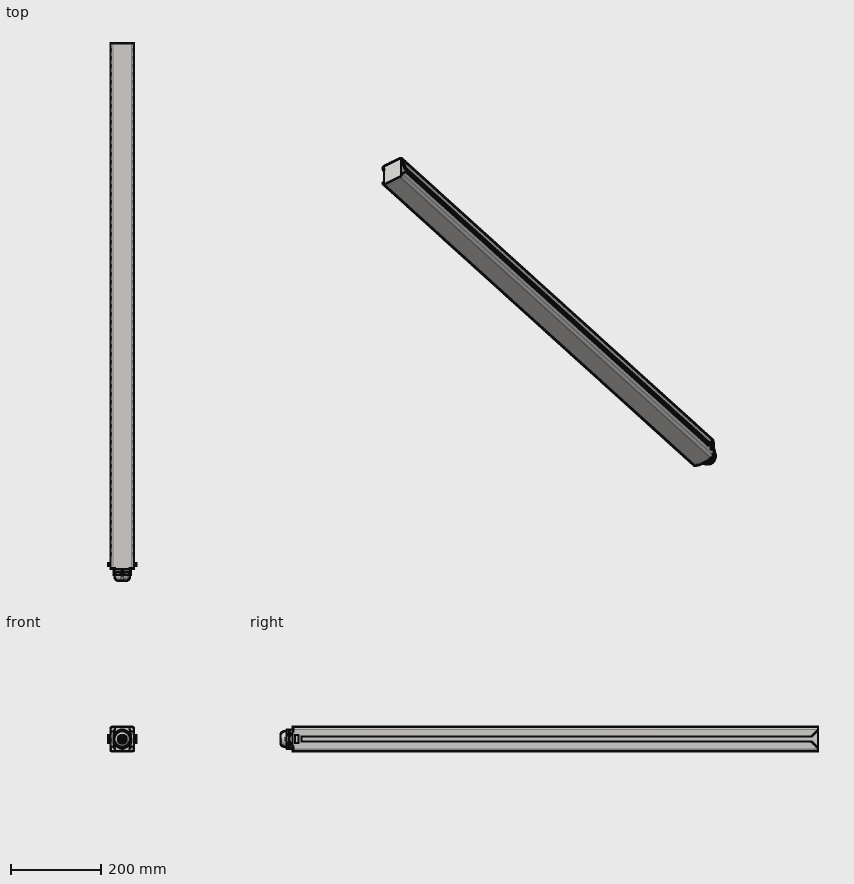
import cadquery as cq
import math

body_width = 53.0
body_height = 55.0
edge_radius = 5.9
overall_length = 1189.79

nut_across_flats = 39.0
nut_corner_diameter = 43.0
nut_chamfer = 1.2
lock_nut_length = 6.0
gasket_diameter = 37.0
gasket_length = 1.5
cap_nut_length = 5.5
dome_base_radius = 17.5
dome_tip_radius = 9.5
dome_length = 13.7
cable_hole_radius = 6.0
cable_hole_depth = 3.0
seal_hole_radius = 3.0
seal_hole_depth = 10.0

gasket_start = lock_nut_length
cap_nut_start = gasket_start + gasket_length
dome_start = cap_nut_start + cap_nut_length
gland_length = dome_start + dome_length
body_length = overall_length - gland_length

groove_depth = 3.0
groove_half_width = 5.2
groove_start = 20.6
flare_half_width = 20.5
flare_length = flare_half_width - groove_half_width

recess_inner_x = 16.5
recess_inner_z = 16.5
recess_inner_radius = 5.0
recess_depth = 2.0

width_over_lugs = 62.0
lug_start = 6.3
lug_length = 7.2
lug_height = 18.0


def along_y(y):
    """Workplane at the given Y whose extrusions run towards -Y."""
    return cq.Workplane("XZ", origin=(0, y, 0))


def make_body():
    bar = along_y(0).rect(body_width, body_height).extrude(-body_length)
    return bar.edges("|Y").fillet(edge_radius)


def groove_cutter(side):
    """Groove open at the rear end; side is -1 for the -X face and +1 for the +X face."""
    flare_start = body_length - flare_length
    outline = [
        (groove_start, -groove_half_width),
        (flare_start, -groove_half_width),
        (body_length, -flare_half_width),
        (body_length, flare_half_width),
        (flare_start, groove_half_width),
        (groove_start, groove_half_width),
    ]
    side_face = cq.Workplane("YZ", origin=(side * body_width / 2, 0, 0))
    return side_face.polyline(outline).close().extrude(-side * groove_depth)


def corner_recess_cutter():
    """Four blocks with a rounded inner edge, each reaching past its corner of the body."""
    block_size = body_height / 2
    centres = [
        (sx * (recess_inner_x + block_size / 2), sz * (recess_inner_z + block_size / 2))
        for sx in (-1, 1)
        for sz in (-1, 1)
    ]
    blocks = along_y(0).pushPoints(centres).rect(block_size, block_size).extrude(-recess_depth)
    return blocks.edges("|Y").fillet(recess_inner_radius)


def make_lugs():
    """One bar through the body whose two ends stand out as lugs."""
    lug_centre_y = lug_start + lug_length / 2
    bar = cq.Workplane("XY").box(width_over_lugs, lug_length, lug_height)
    return bar.translate((0, lug_centre_y, 0))


def hex_nut(start, length):
    """Hexagon with flats facing +X and -X, its corners turned down and chamfered in front."""
    corner_to_corner = nut_across_flats / math.cos(math.pi / 6)
    hexagon = along_y(-start).polygon(6, corner_to_corner).extrude(length)
    hexagon = hexagon.rotate((0, 0, 0), (0, 1, 0), 90)
    turned = along_y(-start).circle(nut_corner_diameter / 2).extrude(length)
    return hexagon.intersect(turned.faces("<Y").chamfer(nut_chamfer))


def make_dome():
    """Bulged cap turned about Y; its arc passes through the 45 degree point of an ellipse."""
    shoulder = math.sqrt(0.5)
    bulge_radius = dome_tip_radius + (dome_base_radius - dome_tip_radius) * shoulder
    bulge_y = -dome_start - dome_length * shoulder
    half_section = (
        cq.Workplane("YZ")
        .moveTo(-dome_start, 0)
        .lineTo(-dome_start, dome_base_radius)
        .threePointArc((bulge_y, bulge_radius), (-gland_length, dome_tip_radius))
        .lineTo(-gland_length, 0)
        .close()
    )
    return half_section.revolve(360, (0, 0, 0), (1, 0, 0))


def make_gland():
    gasket = along_y(-gasket_start).circle(gasket_diameter / 2).extrude(gasket_length)
    gland = hex_nut(0, lock_nut_length).union(gasket)
    gland = gland.union(hex_nut(cap_nut_start, cap_nut_length)).union(make_dome())
    tip = along_y(-gland_length)
    cable_hole = tip.circle(cable_hole_radius).extrude(-cable_hole_depth)
    seal_hole = tip.circle(seal_hole_radius).extrude(-seal_hole_depth)
    return gland.cut(cable_hole).cut(seal_hole)


result = make_body().cut(corner_recess_cutter())
for side in (-1, 1):
    result = result.cut(groove_cutter(side))
result = result.union(make_lugs()).union(make_gland())